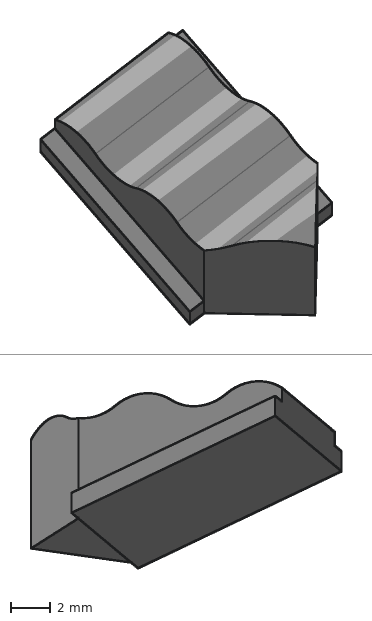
import cadquery as cq
import math

length = 15.0
overall_width = 10.0
body_width = 8.0
height = 6.3
ramp_angle = 20.0
flange_thickness = 1.0
wave_count = 5
wave_rise = 0.5

tip_length = body_width / 2
shoulder_x = length - tip_length
ramp_height = shoulder_x * math.tan(math.radians(ramp_angle))
flange_height = flange_thickness / math.cos(math.radians(ramp_angle))
wave_mid_z = height - wave_rise
wave_span = length / wave_count


def extrude_across(profile, width):
    """Extrude a closed XZ profile symmetrically about Y = 0."""
    return profile.extrude(width / 2, both=True)


def make_wavy_block():
    """Body side profile: ramp, flat underside and a top of alternating arcs."""
    profile = cq.Workplane("XZ").moveTo(length, wave_mid_z).lineTo(length, 0)
    profile = profile.lineTo(shoulder_x, 0).lineTo(0, ramp_height).lineTo(0, wave_mid_z)
    for i in range(wave_count):
        rise = wave_rise if i % 2 == 0 else -wave_rise
        middle = ((i + 0.5) * wave_span, wave_mid_z + rise)
        end = ((i + 1) * wave_span, wave_mid_z)
        profile = profile.threePointArc(middle, end)
    return extrude_across(profile.close(), body_width)


def make_pointed_plan():
    """Prism with the body's pointed outline seen along Z."""
    half_width = body_width / 2
    outline = [
        (0, -half_width),
        (shoulder_x, -half_width),
        (length, 0),
        (shoulder_x, half_width),
        (0, half_width),
    ]
    return cq.Workplane("XY").polyline(outline).close().extrude(height)


def make_flange():
    """Sloping base plate that projects on both sides of the body."""
    corners = [
        (0, ramp_height),
        (shoulder_x, 0),
        (shoulder_x, flange_height),
        (0, ramp_height + flange_height),
    ]
    return extrude_across(cq.Workplane("XZ").polyline(corners).close(), overall_width)


body = make_wavy_block().intersect(make_pointed_plan())
result = body.union(make_flange())